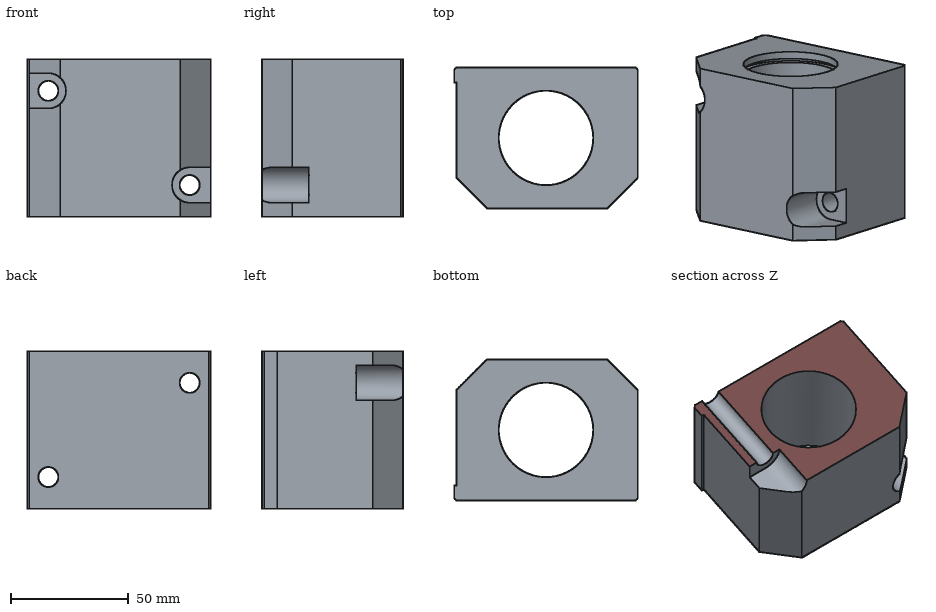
import cadquery as cq

half_width = 39.0
half_depth = 30.0
height = 67.0
half_height = height / 2

lip_projection = 1.0
lip_length = 6.5
back_chamfer = 1.0
front_chamfer = 13.0

bore_diameter = 40.0
groove_diameter = 45.5
groove_width = 1.7
groove_offset = 3.0

screw_diameter = 8.38
screw_x = 30.0
screw_z = 20.0
pocket_width = 15.0
pocket_depth = 20.0

relieved_side = -half_width + lip_projection


def make_block():
    """Housing profile in plan: chamfered front corners and a lip at the back of the -X side."""
    outline = [
        (-half_width, half_depth - back_chamfer),
        (-half_width + back_chamfer, half_depth),
        (half_width - back_chamfer, half_depth),
        (half_width, half_depth - back_chamfer),
        (half_width, -half_depth + front_chamfer),
        (half_width - front_chamfer, -half_depth),
        (relieved_side + front_chamfer, -half_depth),
        (relieved_side, -half_depth + front_chamfer),
        (relieved_side, half_depth - lip_length),
        (-half_width, half_depth - lip_length),
    ]
    return cq.Workplane("XY").polyline(outline).close().extrude(half_height, both=True)


def make_bore():
    """Through bore with a retaining-ring groove just below the top face."""
    bore = cq.Workplane("XY").circle(bore_diameter / 2).extrude(half_height, both=True)
    groove_top = half_height - groove_offset
    groove = (
        cq.Workplane("XY", origin=(0, 0, groove_top - groove_width))
        .circle(groove_diameter / 2)
        .extrude(groove_width)
    )
    return bore.union(groove)


def make_screw_seat(side):
    """Through hole along Y with a round-ended pocket open to the front and to one side.

    side is -1 for the upper seat on the -X side and +1 for the lower seat on the +X side.
    """
    center_x = side * screw_x
    center_z = -side * screw_z
    front = cq.Workplane("XZ", origin=(center_x, -half_depth, center_z))
    hole = front.circle(screw_diameter / 2).extrude(-2 * half_depth)
    round_end = front.circle(pocket_width / 2).extrude(-pocket_depth)
    reach = half_width - screw_x
    open_end = front.center(side * reach / 2, 0).rect(reach, pocket_width).extrude(-pocket_depth)
    return hole.union(round_end).union(open_end)


result = make_block().cut(make_bore())
for seat_side in (-1, 1):
    result = result.cut(make_screw_seat(seat_side))